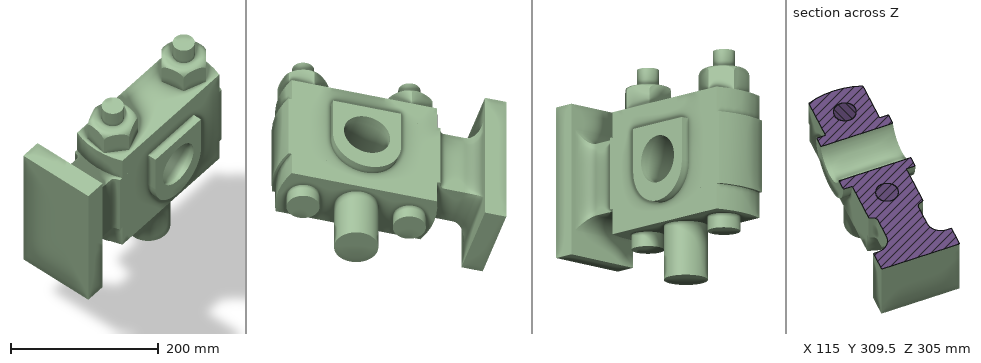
import cadquery as cq
import math


block_width = 80.0
block_height = 100.0
block_end_radius = 114.5
bore_diameter = 65.0
boss_width = 106.0
boss_radius = 48.0
boss_arc_drop = 10.0

neck_width = 60.0
neck_corner_radius = 6.2
flange_width = 115.0
flange_height = 210.0
flange_thickness = 30.0
flange_face_y = -195.0
flange_fillet = 20.0

plate_thickness = 35.0
plate_end_radius = 110.0

bolt_spacing = 150.0
bolt_diameter = 30.0
bolt_head_diameter = 45.0
bolt_head_height = 20.0
bolt_projection = 25.0
nut_across_flats = 60.0
nut_height = 35.0
nut_edge_radius = 10.0
nut_turn = 10.0

shaft_diameter = 60.0
shaft_projection = 75.0
shaft_head_diameter = 92.5

block_top = block_height / 2
block_bottom = -block_top
boss_bottom = -boss_arc_drop - boss_radius
stack_top = block_top + plate_thickness
stack_bottom = -stack_top
bolt_top = stack_top + nut_height + bolt_projection
shaft_head_height = block_bottom - boss_bottom
flange_back_y = flange_face_y + flange_thickness
bolt_places = [(0, -bolt_spacing / 2), (0, bolt_spacing / 2)]


def cylinder(diameter, bottom, top, places=((0, 0),)):
    """Upright cylinders between two levels, one at each place."""
    return (
        cq.Workplane("XY", origin=(0, 0, bottom))
        .pushPoints(places)
        .circle(diameter / 2)
        .extrude(top - bottom)
    )


def round_ended_block(end_radius, bottom, top):
    """A block as wide as the housing whose two ends follow one circle about the Z axis."""
    half_width = block_width / 2
    corner_y = math.sqrt(end_radius**2 - half_width**2)
    return (
        cq.Workplane("XY", origin=(0, 0, bottom))
        .moveTo(-half_width, -corner_y)
        .threePointArc((0, -end_radius), (half_width, -corner_y))
        .lineTo(half_width, corner_y)
        .threePointArc((0, end_radius), (-half_width, corner_y))
        .close()
        .extrude(top - bottom)
    )


def bolt_holes():
    return cylinder(bolt_diameter, stack_bottom, stack_top, bolt_places)


def side_bosses():
    """The two U-shaped pads around the bore, one on each side of the block."""
    pad_thickness = (boss_width - block_width) / 2
    pad = (
        cq.Workplane("YZ", origin=(block_width / 2, 0, 0))
        .moveTo(-boss_radius, block_top)
        .lineTo(-boss_radius, -boss_arc_drop)
        .threePointArc((0, boss_bottom), (boss_radius, -boss_arc_drop))
        .lineTo(boss_radius, block_top)
        .close()
        .extrude(pad_thickness)
    )
    return pad, pad.mirror("YZ")


def flared_bar(width, height):
    """A bar along -Y from the Z axis to the flange, flaring sideways into the flange."""
    half_width = width / 2
    flare_half_width = half_width + flange_fillet
    flare_start_y = flange_back_y + flange_fillet
    arc_offset = flange_fillet * (1 - math.sqrt(0.5))
    arc_middle = (half_width + arc_offset, flange_back_y + arc_offset)
    half_bar = (
        cq.Workplane("XY")
        .lineTo(half_width, 0)
        .lineTo(half_width, flare_start_y)
        .threePointArc(arc_middle, (flare_half_width, flange_back_y))
        .lineTo(0, flange_back_y)
        .close()
        .extrude(height / 2, both=True)
    )
    return half_bar.union(half_bar.mirror("YZ"))


def flange_and_neck():
    """The mounting flange with its neck, which flares into the flange on all four sides."""
    flange = (
        cq.Workplane("XZ", origin=(0, flange_back_y, 0))
        .rect(flange_width, flange_height)
        .extrude(flange_thickness)
    )
    flare_across_x = flared_bar(neck_width, flange_height)
    flare_across_z = flared_bar(block_height, flange_width).rotate((0, 0, 0), (0, 1, 0), 90)
    return flange.union(flare_across_x.intersect(flare_across_z))


def make_housing():
    housing = round_ended_block(block_end_radius, block_bottom, block_top).union(flange_and_neck())

    neck_joint_y = -math.sqrt(block_end_radius**2 - (neck_width / 2) ** 2)
    for side in (-1, 1):
        joint = (side * neck_width / 2, neck_joint_y, 0)
        housing = housing.edges(cq.selectors.NearestToPointSelector(joint)).fillet(neck_corner_radius)

    for boss in side_bosses():
        housing = housing.union(boss)
    bore = (
        cq.Workplane("YZ")
        .circle(bore_diameter / 2)
        .extrude(boss_width / 2, both=True)
    )
    return housing.cut(bore).cut(bolt_holes())


def make_top_plate():
    return round_ended_block(plate_end_radius, block_top, stack_top).cut(bolt_holes())


def make_shaft():
    """Swivel shaft whose head has two flats, flush with the sides of the bottom plate."""
    flats = cq.Workplane("XY", origin=(0, 0, boss_bottom)).box(
        block_width, shaft_head_diameter, shaft_head_height, centered=(True, True, False)
    )
    head = cylinder(shaft_head_diameter, boss_bottom, block_bottom).intersect(flats)
    return cylinder(shaft_diameter, stack_bottom - shaft_projection, boss_bottom).union(head)


def make_bottom_plate(shaft):
    """Bottom plate with a shaft hole and a recess that fits the shaft head."""
    plate = round_ended_block(plate_end_radius, stack_bottom, block_bottom)
    return plate.cut(bolt_holes()).cut(shaft)


def make_bolt(place):
    head = cylinder(bolt_head_diameter, stack_bottom - bolt_head_height, stack_bottom, [place])
    shank = cylinder(bolt_diameter, stack_bottom, bolt_top, [place])
    return head.union(shank)


def make_nut(place, turn):
    """Hexagon nut whose upper corners are rounded by a turned profile."""
    corner_radius = nut_across_flats / math.sqrt(3)
    hexagon = (
        cq.Workplane("XY")
        .polygon(6, 2 * corner_radius)
        .circle(bolt_diameter / 2)
        .extrude(nut_height)
    )
    rounded_blank = (
        cq.Workplane("XY")
        .circle(corner_radius)
        .extrude(nut_height)
        .faces(">Z")
        .edges()
        .fillet(nut_edge_radius)
    )
    nut = hexagon.intersect(rounded_blank)
    return nut.rotate((0, 0, 0), (0, 0, 1), turn).translate((*place, stack_top))


housing = make_housing()
top_plate = make_top_plate()
shaft = make_shaft()
bottom_plate = make_bottom_plate(shaft)
bolts = [make_bolt(place) for place in bolt_places]
nuts = [make_nut(place, turn) for place, turn in zip(bolt_places, (-nut_turn, nut_turn))]

result = cq.Compound.makeCompound(
    [
        housing.val(),
        top_plate.val(),
        bottom_plate.val(),
        shaft.val(),
        *[bolt.val() for bolt in bolts],
        *[nut.val() for nut in nuts],
    ]
)